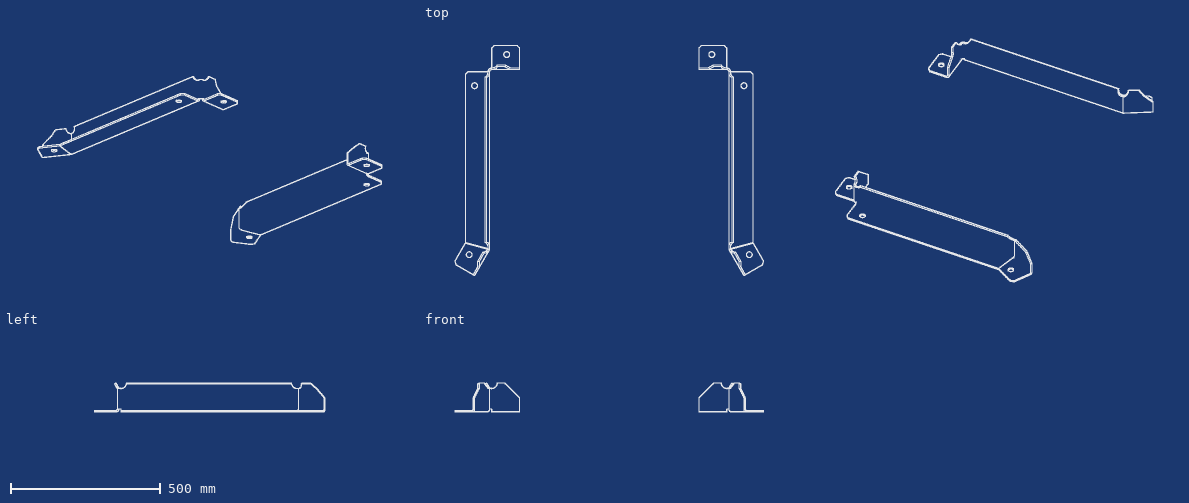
import cadquery as cq
import math

overall_width = 1032
overall_depth = 770.0
height = 97.0

sheet = 5.7
bend_inner = 3.6
bend_outer = bend_inner + sheet
foot_width = 82.0
wall_top = 80.0
lip_angle = 30

rear_length = 94.0
front_length = 101.0
front_turn = 30
corner_inner = 6.0
corner_outer = corner_inner + sheet

foot_chamfer = 9.0
hole_diameter = 19.0
hole_inset = 51.0
rear_hole_place = 43.0
main_hole_place = 47.0
front_hole_place = 50.0
end_height = 47.0
relief_radius = 19.0
relief_shift = 5.0
mitre_gap = 1.0

turn = math.radians(front_turn)
chamfer_loss = foot_chamfer * math.sin(turn)
front_reach = front_length * math.sin(turn) + foot_width * math.cos(turn) - chamfer_loss
wall_x = -overall_width / 2 + front_reach
rear_wall_y = overall_depth / 2 - foot_width
front_corner_y = -overall_depth / 2 + front_length * math.cos(turn)
main_start_y = rear_wall_y - corner_inner
main_length = main_start_y - front_corner_y
rear_end_x = wall_x + corner_inner + rear_length


def straight_run(length):
    """Folded section running from y = 0 to y = -length, wall face on x = 0, foot towards -X."""
    lean = math.radians(lip_angle)
    outer_setback = bend_outer * math.tan(lean / 2)
    inner_setback = bend_inner * math.tan(lean / 2)
    inner_fold_z = wall_top - sheet * math.tan(lean / 2)
    lip_reach = (height - wall_top) * math.tan(lean)
    tip_x = -lip_reach - sheet * math.cos(lean)
    tip_z = height - sheet * math.sin(lean)
    return (
        cq.Workplane("XZ")
        .moveTo(-foot_width, 0)
        .lineTo(-bend_outer, 0)
        .radiusArc((0, bend_outer), -bend_outer)
        .lineTo(0, wall_top - outer_setback)
        .radiusArc(
            (-outer_setback * math.sin(lean), wall_top + outer_setback * math.cos(lean)), -bend_outer
        )
        .lineTo(-lip_reach, height)
        .lineTo(tip_x, tip_z)
        .lineTo(-sheet - inner_setback * math.sin(lean), inner_fold_z + inner_setback * math.cos(lean))
        .radiusArc((-sheet, inner_fold_z - inner_setback), bend_inner)
        .lineTo(-sheet, bend_outer)
        .radiusArc((-bend_outer, sheet), bend_inner)
        .lineTo(-foot_width, sheet)
        .close()
        .extrude(length)
    )


def foot_hole(place):
    """Cutter for a hole through the foot, at a distance along the run."""
    return (
        cq.Workplane("XY")
        .center(-hole_inset, -place)
        .circle(hole_diameter / 2)
        .extrude(bend_outer)
    )


def lip_relief(place):
    """Cutter that rounds off the lip around a point along the run."""
    return (
        cq.Workplane("YZ")
        .center(-place, height)
        .circle(relief_radius)
        .extrude(foot_width, both=True)
    )


def sloped_end(end_place, direction):
    """Cutter for the 45 degree slope at a free end; direction is the sign of Y from the end into the run."""
    rise = height - end_height
    return (
        cq.Workplane("YZ")
        .moveTo(-end_place, end_height)
        .lineTo(-end_place, height)
        .lineTo(-end_place + direction * rise, height)
        .close()
        .extrude(foot_width, both=True)
    )


def mitre(place, direction):
    """Cutter that trims the foot side of a run to the mitre line of the front corner.

    Direction is the sign of Y from the corner into the run.
    """
    spread = foot_width * math.tan(turn / 2) * direction
    return (
        cq.Workplane("XY")
        .polyline([(0, -place), (-foot_width, -place), (-foot_width, -place + spread)])
        .close()
        .extrude(height)
    )


def chamfer_foot(run, selector):
    return run.edges("|Z").edges("<X").edges(selector).chamfer(foot_chamfer)


def place_run(run, angle, x, y):
    return run.rotate((0, 0, 0), (0, 0, 1), angle).translate((x, y, 0))


def rear_run():
    run = straight_run(rear_length)
    run = chamfer_foot(chamfer_foot(run, ">Y"), "<Y")
    run = run.cut(foot_hole(rear_hole_place))
    run = run.cut(sloped_end(0, -1)).cut(lip_relief(rear_length))
    return place_run(run, -90, rear_end_x, rear_wall_y)


def main_run():
    run = chamfer_foot(straight_run(main_length), ">Y")
    run = run.cut(foot_hole(main_hole_place)).cut(mitre(main_length, 1))
    run = run.cut(lip_relief(0)).cut(lip_relief(main_length - relief_shift))
    return place_run(run, 0, wall_x, main_start_y)


def front_run():
    run = chamfer_foot(straight_run(front_length), "<Y")
    run = run.cut(foot_hole(front_hole_place)).cut(mitre(0, -1))
    run = run.cut(sloped_end(front_length, 1)).cut(lip_relief(0))
    return place_run(run, -front_turn, wall_x, front_corner_y)


def rear_corner():
    """Quarter-round wall joining the main run to the rear run, clear of the foot folds."""
    ring = (
        cq.Workplane("XY", origin=(wall_x + corner_inner, main_start_y, bend_outer))
        .circle(corner_outer)
        .circle(corner_inner)
        .extrude(wall_top - bend_outer)
    )
    quarter = (
        cq.Workplane("XY", origin=(wall_x + corner_inner, main_start_y, 0))
        .rect(-corner_outer, corner_outer, centered=False)
        .extrude(height)
    )
    return ring.intersect(quarter)


def mitre_slit():
    """Cutter for the narrow slit that parts the two feet at the front corner."""
    slit = (
        cq.Workplane("XY")
        .center(-bend_outer, 0)
        .rect(-2 * foot_width, mitre_gap, centered=(False, True))
        .extrude(bend_outer)
    )
    return place_run(slit, -front_turn / 2, wall_x, front_corner_y)


def build_bracket():
    bracket = main_run().union(rear_corner()).union(rear_run()).union(front_run())
    return bracket.cut(mitre_slit())


left_bracket = build_bracket()
right_bracket = left_bracket.mirror("YZ")

result = cq.Compound.makeCompound([left_bracket.val(), right_bracket.val()])